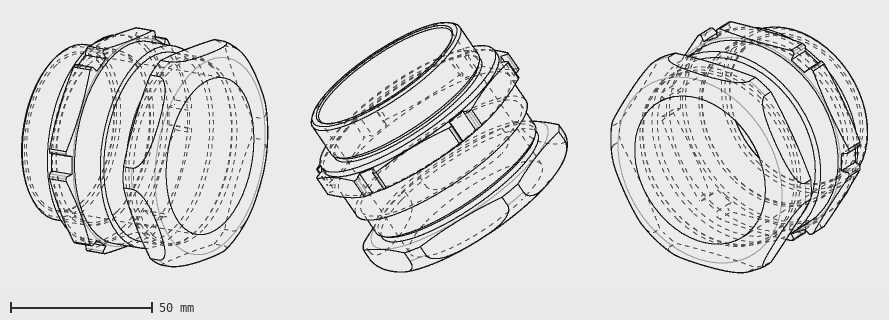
import cadquery as cq
import math


THREAD_END = 13.3
FLANGE_START = 15.3
BODY_HEX_START = 17.3
BODY_HEX_END = 26.3
COLLAR_END = 37.2
BARREL_END = 47.3
NUT_START = 49.25
NUT_DOME_START = 53.9
TOTAL_LENGTH = 59.8

BORE_RADIUS = 28.1
THREAD_RADIUS = 31.5
NECK_RADIUS = 33.2
BARREL_RADIUS = 34.0
COLLAR_RADIUS = 36.3
FLANGE_RADIUS = 37.05

BORE_CHAMFER = 0.6
THREAD_CHAMFER = 1.0
RELIEF_DEPTH = 1.15
RELIEF_BOTTOM_RADIUS = THREAD_RADIUS - RELIEF_DEPTH
RELIEF_BOTTOM_START = THREAD_END + RELIEF_DEPTH
BARREL_CHAMFER = BARREL_RADIUS - NECK_RADIUS

ACROSS_FLATS = 75.0
ACROSS_CORNERS = ACROSS_FLATS / math.cos(math.radians(30))
HEX_FACE_RADIUS = 37.3
HEX_CHAMFER_LENGTH = 1.0
BODY_HEX_CORNER_RADIUS = 40.5
NUT_CORNER_RADIUS = 41.25
NUT_DOME_RADIUS = TOTAL_LENGTH - NUT_DOME_START

NOTCH_COUNT = 6
NOTCH_FLOOR = 37.7
NOTCH_FLOOR_HALF_WIDTH = 3.3
NOTCH_FLANK_ANGLE = 13
NOTCH_LIP_RADIUS = 0.75
NOTCH_TOP = ACROSS_CORNERS / 2

MATCH_TOLERANCE = 0.01


def revolve_about_x(profile):
    """Revolve an (axial, radial) profile a full turn about the X axis."""
    return profile.close().revolve(360, (0, 0, 0), (1, 0, 0))


def hex_prism(start, end):
    return cq.Workplane("YZ", origin=(start, 0, 0)).polygon(6, ACROSS_CORNERS).extrude(end - start)


def turned_body():
    profile = (
        cq.Workplane("XY")
        .moveTo(0, 0)
        .lineTo(0, THREAD_RADIUS - THREAD_CHAMFER)
        .lineTo(THREAD_CHAMFER, THREAD_RADIUS)
        .lineTo(THREAD_END, THREAD_RADIUS)
        .lineTo(RELIEF_BOTTOM_START, RELIEF_BOTTOM_RADIUS)
        .lineTo(FLANGE_START, RELIEF_BOTTOM_RADIUS + FLANGE_START - RELIEF_BOTTOM_START)
        .lineTo(FLANGE_START, FLANGE_RADIUS)
        .lineTo(BODY_HEX_START, FLANGE_RADIUS)
        .lineTo(BODY_HEX_START, COLLAR_RADIUS)
        .lineTo(COLLAR_END, COLLAR_RADIUS)
        .lineTo(COLLAR_END, BARREL_RADIUS)
        .lineTo(BARREL_END - BARREL_CHAMFER, BARREL_RADIUS)
        .lineTo(BARREL_END, NECK_RADIUS)
        .lineTo(NUT_START, NECK_RADIUS)
        .lineTo(NUT_START, 0)
    )
    return revolve_about_x(profile)


def notch_cutter():
    """Trapezoidal slot, wider outwards, cut across the corner that points along +Y."""
    top_half_width = NOTCH_FLOOR_HALF_WIDTH + (NOTCH_TOP - NOTCH_FLOOR) * math.tan(
        math.radians(NOTCH_FLANK_ANGLE)
    )
    outline = [
        (NOTCH_FLOOR, -NOTCH_FLOOR_HALF_WIDTH),
        (NOTCH_TOP, -top_half_width),
        (NOTCH_TOP, top_half_width),
        (NOTCH_FLOOR, NOTCH_FLOOR_HALF_WIDTH),
    ]
    return (
        cq.Workplane("YZ", origin=(BODY_HEX_START, 0, 0))
        .polyline(outline)
        .close()
        .extrude(BODY_HEX_END - BODY_HEX_START)
    )


def is_notch_lip(edge):
    """True for the outer edges of a notch: on the corner cylinder, nearest to a hexagon corner."""
    middle = edge.Center()
    corner_step = 360 / NOTCH_COUNT
    angle = math.degrees(math.atan2(middle.z, middle.y))
    from_corner = abs(angle - corner_step * round(angle / corner_step))
    flat_edge_angle = 30 - math.degrees(math.acos(ACROSS_FLATS / 2 / BODY_HEX_CORNER_RADIUS))
    on_cylinder = abs(math.hypot(middle.y, middle.z) - BODY_HEX_CORNER_RADIUS) < MATCH_TOLERANCE
    return on_cylinder and from_corner < flat_edge_angle - MATCH_TOLERANCE


def body_hexagon():
    rounded_corners = (
        cq.Workplane("YZ", origin=(BODY_HEX_START, 0, 0))
        .circle(BODY_HEX_CORNER_RADIUS)
        .extrude(BODY_HEX_END - BODY_HEX_START)
    )
    hexagon = hex_prism(BODY_HEX_START, BODY_HEX_END).intersect(rounded_corners)
    cutter = notch_cutter()
    for index in range(NOTCH_COUNT):
        hexagon = hexagon.cut(cutter.rotate((0, 0, 0), (1, 0, 0), index * 360 / NOTCH_COUNT))
    hexagon = hexagon.edges("|X").filter(is_notch_lip).fillet(NOTCH_LIP_RADIUS)

    chamfered_disc = (
        cq.Workplane("XY")
        .moveTo(BODY_HEX_START, 0)
        .lineTo(BODY_HEX_START, HEX_FACE_RADIUS)
        .lineTo(BODY_HEX_START + HEX_CHAMFER_LENGTH, BODY_HEX_CORNER_RADIUS)
        .lineTo(BODY_HEX_END - HEX_CHAMFER_LENGTH, BODY_HEX_CORNER_RADIUS)
        .lineTo(BODY_HEX_END, HEX_FACE_RADIUS)
        .lineTo(BODY_HEX_END, 0)
    )
    return hexagon.intersect(revolve_about_x(chamfered_disc))


def domed_nut():
    dome_centre_radius = NUT_CORNER_RADIUS - NUT_DOME_RADIUS
    arc_offset = NUT_DOME_RADIUS * math.sin(math.radians(45))
    domed_disc = (
        cq.Workplane("XY")
        .moveTo(NUT_START, 0)
        .lineTo(NUT_START, HEX_FACE_RADIUS)
        .lineTo(NUT_START + HEX_CHAMFER_LENGTH, NUT_CORNER_RADIUS)
        .lineTo(NUT_DOME_START, NUT_CORNER_RADIUS)
        .threePointArc(
            (NUT_DOME_START + arc_offset, dome_centre_radius + arc_offset),
            (TOTAL_LENGTH, dome_centre_radius),
        )
        .lineTo(TOTAL_LENGTH, 0)
    )
    return hex_prism(NUT_START, TOTAL_LENGTH).intersect(revolve_about_x(domed_disc))


def through_bore():
    """Bore along the whole part, with a lead-in chamfer at the threaded end."""
    profile = (
        cq.Workplane("XY")
        .moveTo(0, 0)
        .lineTo(0, BORE_RADIUS + BORE_CHAMFER)
        .lineTo(BORE_CHAMFER, BORE_RADIUS)
        .lineTo(TOTAL_LENGTH, BORE_RADIUS)
        .lineTo(TOTAL_LENGTH, 0)
    )
    return revolve_about_x(profile)


result = turned_body().union(body_hexagon()).union(domed_nut()).cut(through_bore())